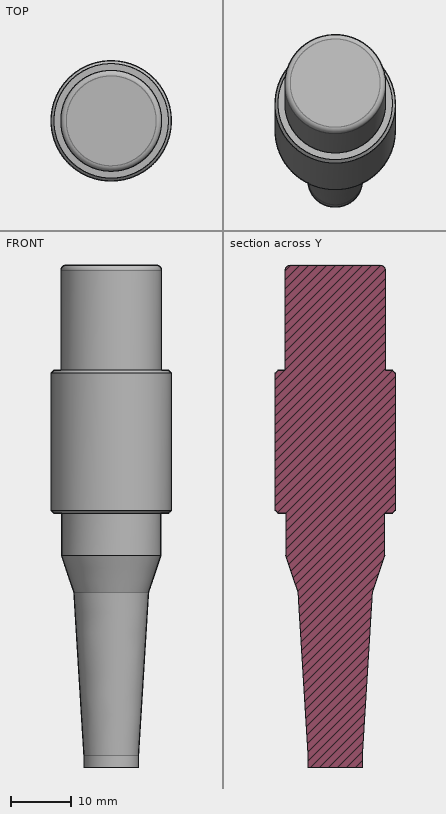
import cadquery as cq

total_height = 83.4
tip_height = 2.0
taper_top = 29.1
cone_top = 35.2
body_bottom = 42.2
body_top = 66.0

tip_diameter = 9.1
taper_diameter = 12.4
neck_diameter = 16.5
body_diameter = 20
head_diameter = 16.8

body_edge = 0.5
head_edge = 0.9


def cylinder(diameter, bottom, top):
    """Upright cylinder between two heights."""
    return cq.Workplane("XY").workplane(offset=bottom).circle(diameter / 2).extrude(top - bottom)


def cone(bottom_diameter, top_diameter, bottom, top):
    """Upright cone frustum between two heights."""
    return (
        cq.Workplane("XY")
        .workplane(offset=bottom)
        .circle(bottom_diameter / 2)
        .workplane(offset=top - bottom)
        .circle(top_diameter / 2)
        .loft()
    )


tip = cylinder(tip_diameter, 0, tip_height)
taper = cone(tip_diameter, taper_diameter, tip_height, taper_top)
shoulder = cone(taper_diameter, neck_diameter, taper_top, cone_top)
neck = cylinder(neck_diameter, cone_top, body_bottom)

body = cylinder(body_diameter, body_bottom, body_top).faces("<Z or >Z").edges().chamfer(body_edge)
head = cylinder(head_diameter, body_top, total_height).faces(">Z").edges().fillet(head_edge)

result = tip.union(taper).union(shoulder).union(neck).union(body).union(head)